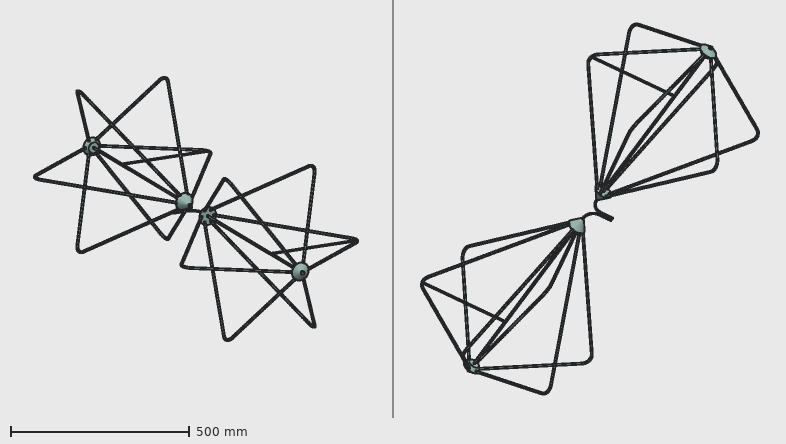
import cadquery as cq
import math


loop_count = 6
loop_diameter = 6.4
corner_distance = 463.0
corner_radius = 284.0
corner_bend = 32.0
inner_leg_angle = 34.1
outer_leg_angle = 55.5

axis_rod_diameter = 6.4
cross_rod_diameter = 5.0

cone_tip_x = 40.0
cone_base_x = 73.0
cone_tip_radius = 4.0
cone_base_radius = 27.0

cap_inner_x = 635.0
cap_rim_x = 648.0
cap_shoulder_x = 660.0
cap_end_x = 664.0
cap_inner_radius = 16.0
cap_rim_radius = 27.0
cap_nub_radius = 5.0

lead_diameter = 5.0
lead_offset = 4.0
lead_bend = 33.0
lead_end_y = -72.0

embed = 4.0


def wire_along(path, start, direction, diameter):
    """Round wire swept along a path."""
    section_plane = cq.Plane(origin=start, normal=direction)
    return cq.Workplane(section_plane).circle(diameter / 2).sweep(path)


def straight_rod(start, direction, length, diameter):
    section_plane = cq.Plane(origin=start, normal=direction)
    return cq.Workplane(section_plane).circle(diameter / 2).extrude(length)


def make_feed_cone():
    profile = [
        (cone_tip_x, 0),
        (cone_tip_x, cone_tip_radius),
        (cone_base_x, cone_base_radius),
        (cone_base_x, 0),
    ]
    return cq.Workplane("XY").polyline(profile).close().revolve(360, (0, 0), (1, 0))


def make_end_cap():
    profile = [
        (cap_inner_x, 0),
        (cap_inner_x, cap_inner_radius),
        (cap_rim_x, cap_rim_radius),
        (cap_shoulder_x, cap_nub_radius),
        (cap_end_x, cap_nub_radius),
        (cap_end_x, 0),
    ]
    return cq.Workplane("XY").polyline(profile).close().revolve(360, (0, 0), (1, 0))


def make_loop():
    """Bent wire in the XY plane, from the feed cone out to the end cap."""
    inner = math.radians(inner_leg_angle)
    outer = math.radians(outer_leg_angle)
    start_x = cone_base_x - embed
    start_y = corner_radius - (corner_distance - start_x) * math.tan(inner)
    end_x = cap_rim_x
    end_y = corner_radius - (end_x - corner_distance) * math.tan(outer)

    setback = corner_bend * math.tan((inner + outer) / 2)
    bend_start = (corner_distance - setback * math.cos(inner), corner_radius - setback * math.sin(inner))
    bend_end = (corner_distance + setback * math.cos(outer), corner_radius - setback * math.sin(outer))

    path = (
        cq.Workplane("XY")
        .moveTo(start_x, start_y)
        .lineTo(*bend_start)
        .tangentArcPoint(bend_end, relative=False)
        .lineTo(end_x, end_y)
    )
    leg_direction = (math.cos(inner), math.sin(inner), 0)
    return wire_along(path, (start_x, start_y, 0), leg_direction, loop_diameter)


def make_feed_lead():
    """Wire leaving the cone tip along X and bending towards -Y."""
    start_x = cone_tip_x + embed
    path = (
        cq.Workplane("XY")
        .moveTo(start_x, 0)
        .lineTo(lead_offset + lead_bend, 0)
        .tangentArcPoint((lead_offset, -lead_bend), relative=False)
        .lineTo(lead_offset, lead_end_y)
    )
    return wire_along(path, (start_x, 0, 0), (-1, 0, 0), lead_diameter)


def make_cage():
    """Half of the antenna on the +X side."""
    axis_start = cone_base_x - embed
    axis_length = cap_inner_x + embed - axis_start
    axis_rod = straight_rod((axis_start, 0, 0), (1, 0, 0), axis_length, axis_rod_diameter)

    bend_drop = corner_bend / math.cos(math.radians(inner_leg_angle + outer_leg_angle) / 2)
    bend_tilt = math.radians(outer_leg_angle - inner_leg_angle) / 2
    wire_peak = corner_radius - bend_drop * math.cos(bend_tilt) + corner_bend
    cross_rod = straight_rod((corner_distance, 0, 0), (0, 1, 0), wire_peak, cross_rod_diameter)

    cage = make_feed_cone().union(make_end_cap()).union(axis_rod).union(cross_rod).union(make_feed_lead())
    loop = make_loop()
    for index in range(loop_count):
        cage = cage.union(loop.rotate((0, 0, 0), (1, 0, 0), index * 360 / loop_count))
    return cage


right_cage = make_cage()
left_cage = right_cage.mirror("YZ")

result = cq.Compound.makeCompound([left_cage.val(), right_cage.val()])